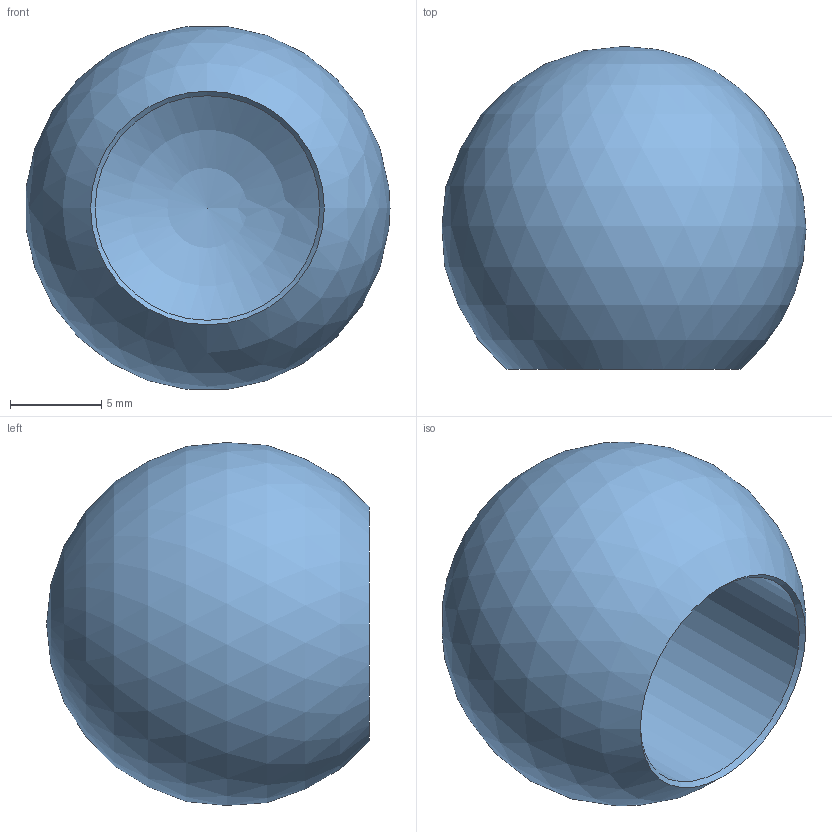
import cadquery as cq
import math

ball_diameter = 20.0
ball_radius = ball_diameter / 2

bore_diameter = 12.3
bore_radius = bore_diameter / 2
mouth_diameter = 12.8
mouth_radius = mouth_diameter / 2
chamfer_size = mouth_radius - bore_radius

bore_depth = 12.0
floor_radius = ball_radius


def point_on_arc(radius, centre_y, angle):
    """Point on an arc centred on the Y axis, at an angle measured from +Y towards +X."""
    return (radius * math.sin(angle), centre_y + radius * math.cos(angle))


def bored_ball():
    """Half section of the ball and its bore, revolved about the Y axis."""
    mouth_angle = math.pi - math.asin(mouth_radius / ball_radius)
    mouth_y = ball_radius * math.cos(mouth_angle)
    ball_middle = point_on_arc(ball_radius, 0, mouth_angle / 2)

    floor_y = mouth_y + bore_depth
    floor_centre_y = floor_y - floor_radius
    floor_rim_angle = math.asin(bore_radius / floor_radius)
    floor_rim = point_on_arc(floor_radius, floor_centre_y, floor_rim_angle)
    floor_middle = point_on_arc(floor_radius, floor_centre_y, floor_rim_angle / 2)

    half_section = (
        cq.Workplane("XY")
        .moveTo(0, ball_radius)
        .threePointArc(ball_middle, (mouth_radius, mouth_y))
        .lineTo(bore_radius, mouth_y + chamfer_size)
        .lineTo(*floor_rim)
        .threePointArc(floor_middle, (0, floor_y))
        .close()
    )
    return half_section.revolve(360, (0, 0, 0), (0, 1, 0))


result = bored_ball()